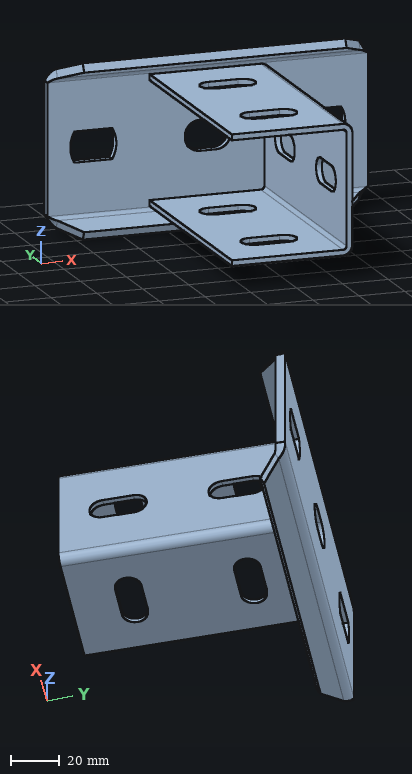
import cadquery as cq
import math

plate_length = 140.0
plate_height = 75.3
plate_thickness = 4.0
flat_height = 57.0
bend_angle = 65.0
bend_inner_radius = 2.0
bend_outer_radius = bend_inner_radius + plate_thickness
bend_end_inset = 3.9
bend_sine = math.sin(math.radians(bend_angle))
bend_cosine = math.cos(math.radians(bend_angle))
lip_length = (plate_height / 2 - flat_height / 2 - bend_outer_radius * bend_sine) / bend_cosine

plate_hole_length = 20.0
plate_hole_height = 13.2
plate_hole_spacing = 50.0
side_hole_end_radius = 12.5

overall_depth = 104.0
channel_length = overall_depth - plate_thickness
channel_height = 56.1
channel_width = 52.6
channel_left = -25.5
channel_right = channel_left + channel_width
channel_thickness = 2.5
channel_outer_radius = 4.0
channel_inner_radius = channel_outer_radius - channel_thickness

channel_slot_length = 24.0
channel_slot_width = 10.9
slot_rows = 2
slot_spacing = 50.0
first_slot_from_end = 25.0
flange_slot_x = -0.3

cut_margin = 0.7


def polar(radius, degrees):
    """Point at a radius and angle around the origin."""
    angle = math.radians(degrees)
    return (radius * math.cos(angle), radius * math.sin(angle))


def annular_sector(plane, inner_radius, outer_radius, start, end):
    """Ring segment between two angles, drawn around the plane origin."""
    middle = (start + end) / 2
    return (
        cq.Workplane(plane)
        .moveTo(*polar(inner_radius, start))
        .lineTo(*polar(outer_radius, start))
        .threePointArc(polar(outer_radius, middle), polar(outer_radius, end))
        .lineTo(*polar(inner_radius, end))
        .threePointArc(polar(inner_radius, middle), polar(inner_radius, start))
        .close()
    )


def make_upper_lip():
    """Upper bend and lip over the full plate length, with trimmed ends."""
    bend_axis = cq.Plane(
        origin=(-plate_length / 2, -bend_outer_radius, flat_height / 2), xDir=(0, 1, 0), normal=(1, 0, 0)
    )
    bend = annular_sector(bend_axis, bend_inner_radius, bend_outer_radius, 0, bend_angle).extrude(plate_length)
    lip = (
        cq.Workplane(bend_axis)
        .transformed(rotate=(0, 0, bend_angle))
        .moveTo(bend_inner_radius, 0)
        .rect(plate_thickness, lip_length, centered=False)
        .extrude(plate_length)
    )

    bend_trim = annular_sector(
        bend_axis, bend_inner_radius - cut_margin, bend_outer_radius + cut_margin, 0, bend_angle
    ).twistExtrude(bend_end_inset, bend_angle)
    lip_inner_plane = cq.Plane(
        origin=bend_axis.toWorldCoords(polar(bend_inner_radius - cut_margin, bend_angle)).toTuple(),
        xDir=(1, 0, 0),
        normal=(0, bend_cosine, bend_sine),
    )
    trim_depth = lip_length + cut_margin
    lip_trim = (
        cq.Workplane(lip_inner_plane)
        .polyline([
            (0, 0),
            (bend_end_inset, 0),
            (bend_end_inset + trim_depth, -trim_depth),
            (0, -trim_depth),
        ])
        .close()
        .extrude(plate_thickness + 2 * cut_margin)
    )
    blank = bend.union(lip)
    for trim in (bend_trim, lip_trim):
        blank = blank.cut(trim).cut(trim.mirror("YZ"))
    return blank

def plate_holes():
    """Round-ended centre slot and two side holes with shallow curved ends."""
    holes = (
        cq.Workplane("XZ")
        .slot2D(plate_hole_length, plate_hole_height)
        .extrude(plate_thickness)
    )
    half_length = plate_hole_length / 2
    half_height = plate_hole_height / 2
    end_bulge = side_hole_end_radius - math.sqrt(side_hole_end_radius**2 - half_height**2)
    corner = half_length - end_bulge
    for centre in (-plate_hole_spacing, plate_hole_spacing):
        side_hole = (
            cq.Workplane("XZ", origin=(centre, 0, 0))
            .moveTo(-corner, -half_height)
            .lineTo(corner, -half_height)
            .threePointArc((half_length, 0), (corner, half_height))
            .lineTo(-corner, half_height)
            .threePointArc((-half_length, 0), (-corner, -half_height))
            .close()
            .extrude(plate_thickness)
        )
        holes = holes.add(side_hole)
    return holes.combine()


def make_base_plate():
    """Flat plate with a bent lip along its top and bottom edges."""
    flat = cq.Workplane("XZ").rect(plate_length, flat_height).extrude(plate_thickness)
    upper_lip = make_upper_lip()
    plate = flat.union(upper_lip).union(upper_lip.mirror("XY"))
    return plate.cut(plate_holes())


def channel_profile(offset, radius):
    """U channel envelope, shrunk inwards by an offset, open side at channel_left."""
    right = channel_right - offset
    half_height = channel_height / 2 - offset
    return (
        cq.Workplane("XZ", origin=(0, -plate_thickness, 0))
        .moveTo((channel_left + right) / 2, 0)
        .rect(right - channel_left, 2 * half_height)
        .extrude(channel_length)
        .edges("|Y and >X")
        .fillet(radius)
    )


def make_channel():
    """U channel with two slots through the web and two through both flanges."""
    cavity = channel_profile(channel_thickness, channel_inner_radius)
    body = channel_profile(0, channel_outer_radius).cut(cavity)
    for index in range(slot_rows):
        slot_y = -overall_depth + first_slot_from_end + index * slot_spacing
        flange_slots = (
            cq.Workplane("XY", origin=(flange_slot_x, slot_y, 0))
            .slot2D(channel_slot_length, channel_slot_width)
            .extrude(channel_height, both=True)
        )
        web_slot = (
            cq.Workplane("YZ", origin=(0, slot_y, 0))
            .slot2D(channel_slot_length, channel_slot_width)
            .extrude(channel_right)
        )
        body = body.cut(flange_slots).cut(web_slot)
    return body


base_plate = make_base_plate()
channel = make_channel()
result = cq.Compound.makeCompound([base_plate.val(), channel.val()])